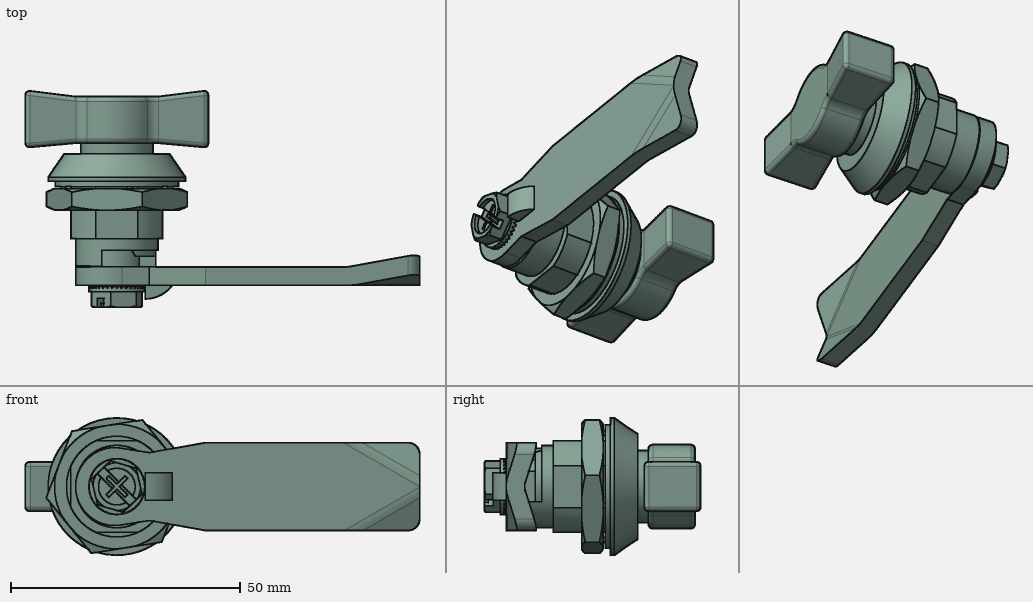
import cadquery as cq
import math


flange_radius = 15.0
flange_top_radius = 11.5
flange_top_y = 6.0
flange_rim = 0.9
collar_radius = 13.5
collar_y = -1.15
nub_count = 4
nub_ring_radius = 12.0
nub_radius = 0.6
nub_start_angle = 76.0
thread_radius = 11.0
thread_flats = 20.0
thread_end_y = -12.5
nose_radius = 9.0
nose_end_y = -18.5
notch_floor_y = -15.0
notch_offset = 3.3
step_radius = 8.5
step_start_x = 3.2
step_y = -16.4
step_run = 0.9

nut_across_flats = 27.0
nut_top_y = collar_y - 0.43
nut_thickness = 4.7
nut_angle = 9.0
nut_face_radius = 13.6
nut_chamfer = 0.8

handle_length = 40.0
wing_thickness = 10.8
wing_top_y = 19.86
wing_bottom_y = 7.3
hub_radius = 9.2
hub_top_y = 18.5
hub_bottom_y = 8.3
wing_root_x = 9.0
handle_fillet = 1.0
neck_radius = 7.9
spindle_radius = 5.87
spindle_end_y = -18.7

cam_thickness = 4.0
cam_top_y = spindle_end_y
cam_bottom_y = cam_top_y - cam_thickness
cam_hub_radius = 8.5
cam_hub_x = -0.5
cam_neck_x = 1.1
waist_x = 7.1
waist_half_width = 7.4
blade_start_x = 19.3
blade_half_width = 9.6
cam_tip_x = 66.1
tip_corner_radius = 2.6
bend_line_angle = 30.0
bend_angle = 20.0
bend_radius = 2.0
tab_clearance = 0.05
tab_end_x = 12.1
tab_half_width = 3.0
tab_height = 3.0

washer_radius = 6.1
washer_thickness = 1.35
tooth_count = 36
tooth_depth = 0.6
tooth_inner_radius = 5.0
head_across_flats = 10.0
head_end_y = -27.5
head_angle = 43.5
head_face_radius = 5.2
head_chamfer = 0.3
recess_radius = 4.0
recess_depth = 0.9
slot_width = 2.0
slot_depth = 2.0
slot_angle = 135.0
cross_length = 5.8
cross_width = 0.8
cross_depth = 3.0
shank_radius = 3.0
shank_end_y = -10.7


def rod(radius, y_from, y_to):
    """Cylinder on the lock axis between two Y positions, y_from above y_to."""
    return cq.Workplane("XZ", origin=(0, y_from, 0)).circle(radius).extrude(y_from - y_to)


def block(x_from, x_to, y_from, y_to, z_from, z_to):
    """Axis-aligned box given by its limits."""
    size = (x_to - x_from, y_to - y_from, z_to - z_from)
    return cq.Workplane("XY").box(*size, centered=False).translate((x_from, y_from, z_from))


def turned(points):
    """Solid of revolution about the lock axis from (radius, Y) points."""
    return cq.Workplane("XY").polyline(points).close().revolve(360, (0, 0), (0, 1))


def about_axis(body, angle):
    """Turn a body about the lock axis, from +X toward +Z for a positive angle."""
    return body.rotate((0, 0, 0), (0, 1, 0), -angle)


def hexagon(across_flats, y_from, y_to, angle):
    """Hexagonal prism with one corner at the given angle from +X."""
    corner_diameter = across_flats / math.cos(math.pi / 6)
    prism = cq.Workplane("XZ", origin=(0, y_from, 0)).polygon(6, corner_diameter).extrude(y_from - y_to)
    return about_axis(prism, angle)


def make_notch():
    """Quarter-turn stop notch in the nose, with a ramped step left on its floor."""
    notch = block(-notch_offset, nose_radius, nose_end_y, notch_floor_y, -notch_offset, nose_radius)
    step_profile = [
        (step_start_x, notch_floor_y),
        (step_start_x + step_run, step_y),
        (nose_radius, step_y),
        (nose_radius, notch_floor_y),
    ]
    step = cq.Workplane("XY", origin=(0, 0, -notch_offset)).polyline(step_profile).close()
    step = step.extrude(notch_offset + nose_radius)
    step = step.intersect(rod(step_radius, notch_floor_y, step_y))
    return notch.cut(step)


def make_housing():
    """Flange with a conical front, flatted thread barrel and notched nose, bored for the spindle."""
    flange = turned([
        (0, flange_top_y),
        (flange_top_radius, flange_top_y),
        (flange_radius, flange_rim),
        (flange_radius, 0),
        (collar_radius, 0),
        (collar_radius, collar_y),
        (0, collar_y),
    ])
    half_flats = thread_flats / 2
    barrel = rod(thread_radius, collar_y, thread_end_y)
    barrel = barrel.intersect(block(-half_flats, half_flats, thread_end_y, collar_y, -half_flats, half_flats))
    nose = rod(nose_radius, thread_end_y, nose_end_y).cut(make_notch())
    nubs = (
        cq.Workplane("XZ", origin=(0, collar_y, 0))
        .polarArray(nub_ring_radius, nub_start_angle, 360, nub_count)
        .circle(nub_radius)
        .extrude(collar_y - nut_top_y)
    )
    bore = rod(spindle_radius, flange_top_y, nose_end_y)
    return flange.union(barrel).union(nose).union(nubs).cut(bore)


def make_nut():
    """Hexagonal clamping nut with both faces chamfered."""
    bottom_y = nut_top_y - nut_thickness
    corner_radius = nut_across_flats / 2 / math.cos(math.pi / 6)
    envelope = turned([
        (0, nut_top_y),
        (nut_face_radius, nut_top_y),
        (corner_radius, nut_top_y - nut_chamfer),
        (corner_radius, bottom_y + nut_chamfer),
        (nut_face_radius, bottom_y),
        (0, bottom_y),
    ])
    hole = rod(thread_radius, nut_top_y, bottom_y)
    return hexagon(nut_across_flats, nut_top_y, bottom_y, nut_angle).intersect(envelope).cut(hole)


def make_grip():
    """Two-winged grip: plan outline across the axis trimmed by the bow-tie side profile."""
    half_length = handle_length / 2
    half_wing = wing_thickness / 2
    blend_radius = (wing_root_x**2 + half_wing**2 - hub_radius**2) / (2 * (hub_radius - half_wing))
    blend_z = half_wing + blend_radius
    hub_angle = math.atan2(blend_z, wing_root_x)
    hub_x = hub_radius * math.cos(hub_angle)
    hub_z = hub_radius * math.sin(hub_angle)
    middle_angle = (hub_angle + math.pi + 1.5 * math.pi) / 2
    middle_x = wing_root_x + blend_radius * math.cos(middle_angle)
    middle_z = blend_z + blend_radius * math.sin(middle_angle)
    plan = (
        cq.Workplane("XZ", origin=(0, wing_top_y, 0))
        .moveTo(half_length, -half_wing)
        .lineTo(half_length, half_wing)
        .lineTo(wing_root_x, half_wing)
        .threePointArc((middle_x, middle_z), (hub_x, hub_z))
        .threePointArc((0, hub_radius), (-hub_x, hub_z))
        .threePointArc((-middle_x, middle_z), (-wing_root_x, half_wing))
        .lineTo(-half_length, half_wing)
        .lineTo(-half_length, -half_wing)
        .lineTo(-wing_root_x, -half_wing)
        .threePointArc((-middle_x, -middle_z), (-hub_x, -hub_z))
        .threePointArc((0, -hub_radius), (hub_x, -hub_z))
        .threePointArc((middle_x, -middle_z), (wing_root_x, -half_wing))
        .close()
        .extrude(wing_top_y - wing_bottom_y)
    )
    side_profile = [
        (-half_length, wing_top_y),
        (-wing_root_x, hub_top_y),
        (wing_root_x, hub_top_y),
        (half_length, wing_top_y),
        (half_length, wing_bottom_y),
        (wing_root_x, hub_bottom_y),
        (-wing_root_x, hub_bottom_y),
        (-half_length, wing_bottom_y),
    ]
    side = cq.Workplane("XY").polyline(side_profile).close().extrude(hub_radius, both=True)
    grip = plan.intersect(side)
    end_edges = grip.faces("<X or >X").edges("|Y")
    grip = end_edges.fillet(handle_fillet)
    rims = grip.edges("not(|Y)").edges("not(|Z)")
    return rims.add(grip.faces("<X or >X").edges("|Z")).fillet(handle_fillet)


def make_handle():
    """Grip with the spindle that runs through the housing and ends in a stop lug."""
    neck = rod(neck_radius, (hub_top_y + hub_bottom_y) / 2, flange_top_y)
    spindle = rod(spindle_radius, flange_top_y, spindle_end_y)
    lug = block(0, step_radius, spindle_end_y, step_y, -notch_offset, notch_offset)
    screw_hole = rod(shank_radius, shank_end_y, spindle_end_y)
    return make_grip().union(neck).union(spindle).union(lug).cut(screw_hole)


def make_cam_outline(thickness):
    """Cam plan outline extruded up from the cam's -Y face by the given thickness."""
    neck_z = math.sqrt(cam_hub_radius**2 - (cam_neck_x - cam_hub_x) ** 2)
    outline = (
        cq.Workplane("XZ", origin=(0, cam_bottom_y + thickness, 0))
        .moveTo(cam_neck_x, neck_z)
        .lineTo(waist_x, waist_half_width)
        .lineTo(blade_start_x, blade_half_width)
        .lineTo(cam_tip_x, blade_half_width)
        .lineTo(cam_tip_x, -blade_half_width)
        .lineTo(blade_start_x, -blade_half_width)
        .lineTo(waist_x, -waist_half_width)
        .lineTo(cam_neck_x, -neck_z)
        .threePointArc((cam_hub_x - cam_hub_radius, 0), (cam_neck_x, neck_z))
        .close()
        .extrude(thickness)
    )
    return outline.edges("|Y").edges(">X").fillet(tip_corner_radius)


def make_bent_sheet(side):
    """Sheet bent toward +Y along one fold line; side is 1 for the +Z half and -1 for the -Z half."""
    bend = math.radians(bend_angle)
    fold = math.radians(bend_line_angle)
    reach = cam_tip_x
    outer_radius = bend_radius + cam_thickness
    center_y = cam_top_y + bend_radius
    flap = blade_half_width * 2

    def on_arc(radius, angle):
        return (radius * math.sin(angle), center_y - radius * math.cos(angle))

    def flap_end(radius):
        u, y = on_arc(radius, bend)
        return (u + flap * math.cos(bend), y + flap * math.sin(bend))

    profile_plane = cq.Plane(
        origin=(cam_tip_x, 0, 0),
        xDir=(math.sin(fold), 0, side * math.cos(fold)),
        normal=(-side * math.cos(fold), 0, math.sin(fold)),
    )
    return (
        cq.Workplane(profile_plane)
        .moveTo(-2 * reach, cam_bottom_y)
        .lineTo(0, cam_bottom_y)
        .threePointArc(on_arc(outer_radius, bend / 2), on_arc(outer_radius, bend))
        .lineTo(*flap_end(outer_radius))
        .lineTo(*flap_end(bend_radius))
        .lineTo(*on_arc(bend_radius, bend))
        .threePointArc(on_arc(bend_radius, bend / 2), (0, cam_top_y))
        .lineTo(-2 * reach, cam_top_y)
        .close()
        .extrude(2 * reach, both=True)
    )


def make_tab():
    """Pressed-out stop tab with a rounded back below the cam."""
    tab_start_x = washer_radius + tab_clearance
    back_radius = ((tab_end_x - tab_start_x) ** 2 + tab_height**2) / (2 * tab_height)
    sweep = math.asin((tab_end_x - tab_start_x) / back_radius)
    middle_x = tab_start_x + back_radius * math.sin(sweep / 2)
    middle_y = cam_bottom_y - tab_height + back_radius * (1 - math.cos(sweep / 2))
    return (
        cq.Workplane("XY", origin=(0, 0, -tab_half_width))
        .moveTo(tab_start_x, cam_bottom_y)
        .lineTo(tab_start_x, cam_bottom_y - tab_height)
        .threePointArc((middle_x, middle_y), (tab_end_x, cam_bottom_y))
        .close()
        .extrude(2 * tab_half_width)
    )


def make_cam():
    """Cam plate with its two tip corners bent up and a stop tab pressed out below."""
    blank = make_cam_outline(2 * cam_thickness)
    hub_end_x = cam_hub_x - cam_hub_radius
    blank_top_y = cam_top_y + cam_thickness
    upper_half = block(hub_end_x, cam_tip_x, cam_bottom_y, blank_top_y, 0, blade_half_width)
    lower_half = upper_half.mirror("XY")
    upper = blank.intersect(upper_half).intersect(make_bent_sheet(1))
    lower = blank.intersect(lower_half).intersect(make_bent_sheet(-1))
    cam = upper.union(lower)
    return cam.union(make_tab()).cut(rod(shank_radius, cam_top_y, cam_bottom_y))


def make_washer():
    """Washer face of the screw with radial V teeth biting on the cam."""
    washer = rod(washer_radius, cam_bottom_y, cam_bottom_y - washer_thickness)
    half_groove = math.pi * tooth_inner_radius / tooth_count
    groove_profile = [
        (cam_bottom_y, -half_groove),
        (cam_bottom_y, half_groove),
        (cam_bottom_y - tooth_depth, 0),
    ]
    groove = cq.Workplane("YZ", origin=(tooth_inner_radius, 0, 0)).polyline(groove_profile).close()
    groove = groove.extrude(washer_radius)
    for tooth in range(tooth_count):
        washer = washer.cut(about_axis(groove, tooth * 360 / tooth_count))
    return washer


def drive_bar(length, width, depth):
    """Cutting bar along X that sinks into the screw head from its end face."""
    return block(-length / 2, length / 2, head_end_y, head_end_y + depth, -width / 2, width / 2)


def make_screw():
    """Hexagon washer-head screw with a combined slot and cross drive."""
    head_top_y = cam_bottom_y - washer_thickness
    corner_radius = head_across_flats / 2 / math.cos(math.pi / 6)
    envelope = turned([
        (0, head_top_y),
        (corner_radius, head_top_y),
        (corner_radius, head_end_y + head_chamfer),
        (head_face_radius, head_end_y),
        (0, head_end_y),
    ])
    head = hexagon(head_across_flats, head_top_y, head_end_y, head_angle).intersect(envelope)
    recess = rod(recess_radius, head_end_y + recess_depth, head_end_y)
    slot = about_axis(drive_bar(2 * washer_radius, slot_width, slot_depth), slot_angle)
    head = head.cut(recess).cut(slot)
    for quarter_turn in (0, 90):
        cross_arm = drive_bar(cross_length, cross_width, cross_depth)
        head = head.cut(about_axis(cross_arm, slot_angle + quarter_turn))
    shank = rod(shank_radius, shank_end_y, cam_bottom_y)
    return head.union(make_washer()).union(shank)


housing = make_housing()
nut = make_nut()
handle = make_handle()
cam = make_cam()
screw = make_screw()

result = cq.Compound.makeCompound([housing.val(), nut.val(), handle.val(), cam.val(), screw.val()])